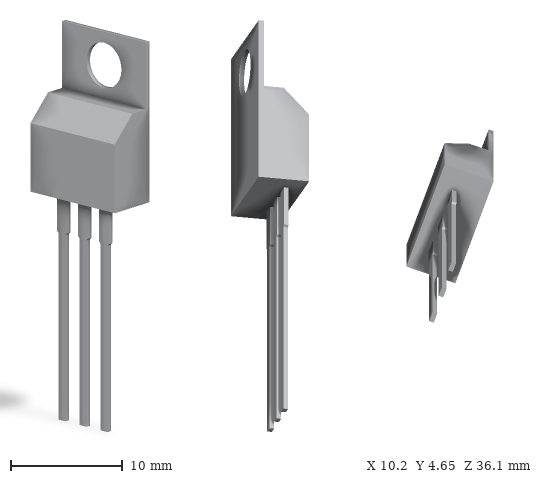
import cadquery as cq

overall_height = 36.15
package_width = 10.15

housing_depth = 4.65
housing_height = 8.75
front_chamfer = 2.35

tab_height = 6.25
tab_thickness = 0.47
tab_hole_diameter = 4.2

lead_count = 3
lead_pitch = 2.53
lead_thickness = 0.45
lead_back_offset = 2.82
shoulder_width = 1.2
shoulder_length = 3.58
shoulder_taper = 0.18
lead_width = 0.83
lead_length = overall_height - tab_height - housing_height


def make_housing():
    """Block with a large chamfer along its upper front edge."""
    block = cq.Workplane("XY").box(
        package_width, housing_depth, housing_height, centered=(True, False, False)
    )
    block = block.translate((0, -housing_depth, 0))
    return block.faces("<Y").edges(">Z").chamfer(front_chamfer)


def make_tab():
    """Flat plate standing on the back of the housing top, with a central hole."""
    plate = cq.Workplane("XY").box(
        package_width, tab_thickness, tab_height, centered=(True, False, False)
    )
    plate = plate.faces("<Y").workplane(centerOption="CenterOfMass").hole(tab_hole_diameter)
    return plate.translate((0, -tab_thickness, housing_height))


def make_lead(center_x):
    """Flat lead hanging from the housing underside: a wide shoulder tapering to a narrow leg."""
    half_shoulder = shoulder_width / 2
    half_lead = lead_width / 2
    right_side = [
        (half_shoulder, 0),
        (half_shoulder, -shoulder_length),
        (half_lead, -shoulder_length - shoulder_taper),
        (half_lead, -lead_length),
    ]
    left_side = [(-x, z) for x, z in reversed(right_side)]
    lead = cq.Workplane("XZ").polyline(right_side + left_side).close().extrude(lead_thickness)
    return lead.translate((center_x, -lead_back_offset, 0))


housing = make_housing()
tab = make_tab()
leads = []
for index in range(lead_count):
    lead_x = (index - (lead_count - 1) / 2) * lead_pitch
    leads.append(make_lead(lead_x).val())

result = cq.Compound.makeCompound([housing.val(), tab.val(), *leads])